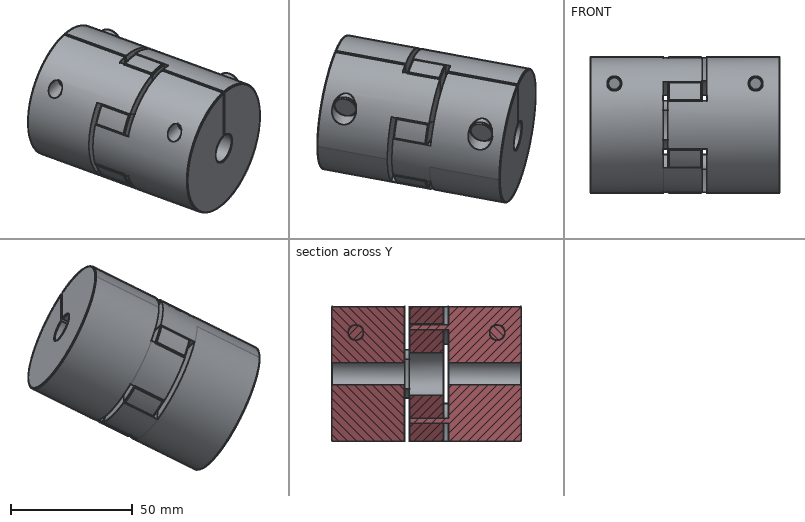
import cadquery as cq
import math


length = 78.0
outer_radius = 28.0
rim_chamfer = 0.4

hub_length = 30.0
jaw_length = 16.0
jaw_count = 3
jaw_pitch = 360 / jaw_count
jaw_inner_radius = 18.5
bore_radius = 6.0
bore_chamfer = 0.3
slot_width = 1.0

spider_bore_radius = 9.5
arm_count = 2 * jaw_count
arm_pitch = 360 / arm_count
arm_half_width_inner = 3.5
arm_half_width_outer = 4.45
arm_bulge = 0.5
arm_chamfer = 0.5
spider_start = length - hub_length - jaw_length
spider_end = length - spider_start

screw_x = 10.0
screw_z = 17.0
shank_radius = 3.0
shank_length = 30.0
head_radius = 5.1
head_height = 6.0
head_end_y = 20.3
screw_chamfer = 0.55
head_seat_y = head_end_y - head_height


def turned(point, angle):
    """Turn a (y, z) point about the X axis by an angle in degrees."""
    y, z = point
    c = math.cos(math.radians(angle))
    s = math.sin(math.radians(angle))
    return (y * c - z * s, y * s + z * c)


def arm_flank():
    """Inner end, middle and outer end of the curved side of an arm pointing along +Y."""
    inner = (math.sqrt(jaw_inner_radius**2 - arm_half_width_inner**2), arm_half_width_inner)
    outer = (math.sqrt(outer_radius**2 - arm_half_width_outer**2), arm_half_width_outer)
    run = outer[0] - inner[0]
    rise = outer[1] - inner[1]
    chord = math.hypot(run, rise)
    middle = (
        (inner[0] + outer[0]) / 2 - arm_bulge * rise / chord,
        (inner[1] + outer[1]) / 2 + arm_bulge * run / chord,
    )
    return inner, middle, outer


def mirrored(point):
    return (point[0], -point[1])


def section_plane(x):
    """Workplane across the coupling at x, with local axes Y and Z."""
    return cq.Workplane("YZ", origin=(x, 0, 0))


def y_cylinder(radius, start_y, end_y):
    """Cylinder on the screw axis of the left hub."""
    plane = cq.Workplane("XZ", origin=(screw_x, end_y, screw_z))
    return plane.circle(radius).extrude(end_y - start_y)


def make_jaw(angle):
    inner, middle, outer = [turned(p, -arm_pitch / 2) for p in arm_flank()]
    jaw = (
        section_plane(hub_length)
        .moveTo(*inner)
        .threePointArc(middle, outer)
        .threePointArc((outer_radius, 0), mirrored(outer))
        .threePointArc(mirrored(middle), mirrored(inner))
        .threePointArc((jaw_inner_radius, 0), inner)
        .close()
        .extrude(jaw_length)
    )
    return jaw.rotate((0, 0, 0), (1, 0, 0), angle)


def make_hub(first_jaw_angle):
    """Clamping hub at the left end, with its jaws pointing along +X."""
    hub = section_plane(0).circle(outer_radius).extrude(hub_length)
    hub = hub.faces("<X").chamfer(rim_chamfer)
    for i in range(jaw_count):
        hub = hub.union(make_jaw(first_jaw_angle + i * jaw_pitch))

    hub = hub.cut(section_plane(0).circle(bore_radius).extrude(hub_length))
    hub = hub.faces("<X").edges("%CIRCLE").edges(cq.selectors.RadiusNthSelector(0)).chamfer(bore_chamfer)

    slot = cq.Workplane("XY").box(hub_length, slot_width, outer_radius, centered=(False, True, False))
    hub = hub.cut(slot)

    hub = hub.cut(y_cylinder(shank_radius, -outer_radius, outer_radius))
    return hub.cut(y_cylinder(head_radius, head_seat_y, outer_radius))


def make_arm(angle):
    inner, middle, outer = arm_flank()
    arm = (
        section_plane(spider_start)
        .moveTo(spider_bore_radius, -arm_half_width_inner)
        .lineTo(*mirrored(inner))
        .threePointArc(mirrored(middle), mirrored(outer))
        .threePointArc((outer_radius, 0), outer)
        .threePointArc(middle, inner)
        .lineTo(spider_bore_radius, arm_half_width_inner)
        .close()
        .extrude(spider_end - spider_start)
    )
    arm = arm.faces(">Y").chamfer(arm_chamfer)
    return arm.rotate((0, 0, 0), (1, 0, 0), angle)


def make_spider():
    spider = section_plane(spider_start).circle(jaw_inner_radius).extrude(spider_end - spider_start)
    for i in range(arm_count):
        spider = spider.union(make_arm((i + 0.5) * arm_pitch))
    return spider.cut(section_plane(spider_start).circle(spider_bore_radius).extrude(spider_end - spider_start))


def make_screw():
    """Cap screw of the left hub, head towards +Y."""
    shank = y_cylinder(shank_radius, head_seat_y - shank_length, head_seat_y)
    shank = shank.faces("<Y").chamfer(screw_chamfer)
    head = y_cylinder(head_radius, head_seat_y, head_end_y)
    head = head.faces(">Y").chamfer(screw_chamfer)
    return head.union(shank)


def at_right_end(body):
    """Mirror a body of the left end to the right end."""
    return body.mirror("YZ", (length / 2, 0, 0))


left_hub = make_hub(0)
right_hub = at_right_end(make_hub(arm_pitch))
spider = make_spider()
left_screw = make_screw()
right_screw = at_right_end(make_screw())

result = cq.Compound.makeCompound(
    [left_hub.val(), right_hub.val(), spider.val(), left_screw.val(), right_screw.val()]
)